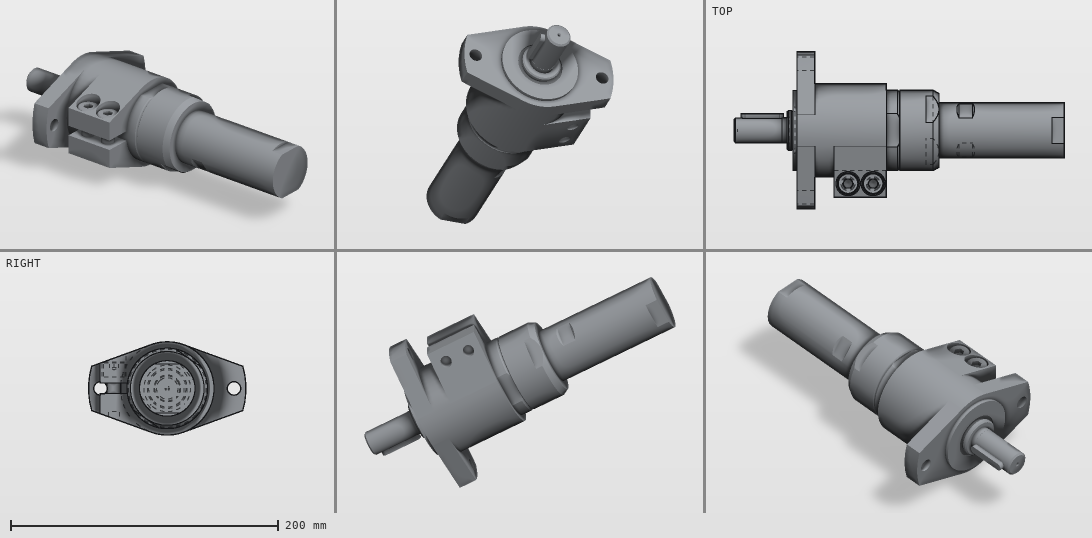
import cadquery as cq
import math


shaft_dia = 18.8
shaft_tip_dia = 16.0
shaft_tip_chamfer_length = 1.2
shaft_seat_dia = 19.0
shaft_seat_start = 36.0
centre_hole_mouth_dia = 3.2
centre_hole_dia = 1.6
centre_hole_depth = 2.5

key_start = 5.2
key_end = 37.1
key_width = 6.2
key_top = 12.5

collar_start = 39.8
collar_dia = 30.0
collar_chamfer = 1.0
collar_bore_dia = 20.0
collar_bore_depth = 1.5

pilot_start = 44.0
pilot_dia = 60.0
pilot_recess_dia = 35.0
pilot_recess_depth = 1.5
flange_start = 47.0
flange_end = 60.6
flange_width = 118.0
body_dia = 70.0
taper_angle = 20
flange_hole_dia = 10.0
flange_hole_spacing = 100.0

clamp_start = 74.7
clamp_end = 114.0
clamp_reach = 50.2
clamp_slit = 8.0
bolt_offset = 39.8
first_bolt = 85.5
bolt_spacing = 18.8
bolt_dia = 10.5
bolt_bore_dia = 18.0
bolt_head_dia = 16.0
bolt_head_chamfer = 0.7
bolt_head_top = 19.8
bolt_seat = 8.7
socket_width = 7.0
socket_depth = 4.0
socket_drill_slope = 30
thread_hole_dia = 8.5
bolt_tip = -17.3

neck_dia = 60.5
neck_end = 122.3
neck_across_flats = 55.0
groove_station = 123.8
groove_dia = 58.5
nut_start = 124.5
nut_dia = 60.5
nut_flat_start = 143.8
nut_chamfer_start = 149.0
nut_end = 153.7
nut_end_dia = 55.2
nut_flat_distance = 27.7
nut_flat_angle = 35

tube_dia = 41.5
tube_end = 247.5
tube_pocket_centre = 173.5
tube_pocket_length = 10.0
tube_pocket_floor = 19.0
tube_pocket_angle = 50
wrench_flat_start = 238.0
wrench_across_flats = 36.6

hexagon_sides = 6
overcut = 2.5


def cylinder(start, end, diameter):
    """Cylinder on the X axis between two stations."""
    return cq.Workplane("YZ").workplane(offset=start).circle(diameter / 2).extrude(end - start)


def upright_cylinder(x, y, bottom, top, diameter):
    """Cylinder parallel to Z."""
    return cq.Workplane("XY", origin=(x, y, bottom)).circle(diameter / 2).extrude(top - bottom)


def block(x_range, y_range, z_range):
    """Box given by its limits along each axis."""
    size = [high - low for low, high in (x_range, y_range, z_range)]
    corner = (x_range[0], y_range[0], z_range[0])
    return cq.Workplane("XY").box(*size, centered=False).translate(corner)


def tapered_wing(start, end, reach, side):
    """Wing tangent to the body, narrowing at the taper angle out to its reach along Y."""
    angle = math.radians(taper_angle)
    radius = body_dia / 2
    tangent_y = radius * math.sin(angle)
    tangent_z = radius * math.cos(angle)
    tip_z = tangent_z - (reach - tangent_y) * math.tan(angle)
    half_outline = [(side * tangent_y, tangent_z), (side * reach, tip_z)]
    outline = [(0, 0)] + half_outline + [(y, -z) for y, z in reversed(half_outline)]
    return cq.Workplane("YZ").workplane(offset=start).polyline(outline).close().extrude(end - start)


def make_turned_core():
    """Shaft with its centre hole, collar, pilot, body core, neck, nut and tube as one turned profile."""
    steps = [
        (0, shaft_tip_dia),
        (shaft_tip_chamfer_length, shaft_dia),
        (shaft_seat_start, shaft_dia),
        (shaft_seat_start, shaft_seat_dia),
        (collar_start + collar_bore_depth, shaft_seat_dia),
        (collar_start + collar_bore_depth, collar_bore_dia),
        (collar_start, collar_bore_dia),
        (collar_start, collar_dia - 2 * collar_chamfer),
        (collar_start + collar_chamfer, collar_dia),
        (pilot_start - collar_chamfer, collar_dia),
        (pilot_start, collar_dia - 2 * collar_chamfer),
        (pilot_start + pilot_recess_depth, collar_dia - 2 * collar_chamfer),
        (pilot_start + pilot_recess_depth, pilot_recess_dia),
        (pilot_start, pilot_recess_dia),
        (pilot_start, pilot_dia),
        (clamp_start, pilot_dia),
        (clamp_start, neck_dia),
        (neck_end, neck_dia),
        (groove_station, groove_dia),
        (nut_start, nut_dia),
        (nut_chamfer_start, nut_dia),
        (nut_end, nut_end_dia),
        (nut_end, tube_dia),
        (tube_end, tube_dia),
    ]
    countersink_depth = (centre_hole_mouth_dia - centre_hole_dia) / 2
    centre_hole = [
        (centre_hole_depth, 0),
        (centre_hole_depth, centre_hole_dia),
        (countersink_depth, centre_hole_dia),
        (0, centre_hole_mouth_dia),
    ]
    profile = [(x, diameter / 2) for x, diameter in centre_hole + steps] + [(tube_end, 0)]
    return cq.Workplane("XY").polyline(profile).close().revolve(360, (0, 0, 0), (1, 0, 0))


def key_shape(bottom, top):
    """Round-ended bar along the shaft, filling Y from bottom to top."""
    length = key_end - key_start
    middle = (key_start + key_end) / 2
    plane = cq.Workplane("XZ", origin=(middle, bottom, 0))
    return plane.slot2D(length, key_width).extrude(bottom - top)


def make_flange():
    """Tapered two-hole flange with rounded outer ends, and the body cylinder behind it."""
    wings = tapered_wing(flange_start, flange_end, flange_width / 2, 1)
    wings = wings.union(tapered_wing(flange_start, flange_end, flange_width / 2, -1))
    wings = wings.intersect(cylinder(flange_start, flange_end, flange_width))
    flange = wings.union(cylinder(flange_start, clamp_start, body_dia))
    for side in (-1, 1):
        hole = cylinder(flange_start, flange_end, flange_hole_dia)
        flange = flange.cut(hole.translate((0, side * flange_hole_spacing / 2, 0)))
    return flange


def make_bolt(x):
    """Socket head bolt with a chamfered head and a drilled hexagon socket."""
    head = upright_cylinder(x, -bolt_offset, bolt_seat, bolt_head_top, bolt_head_dia)
    head = head.faces(">Z").chamfer(bolt_head_chamfer)
    socket_corner_dia = socket_width / math.cos(math.pi / hexagon_sides)
    socket = cq.Workplane("XY", origin=(x, -bolt_offset, bolt_head_top))
    head = head.cut(socket.polygon(hexagon_sides, socket_corner_dia).extrude(-socket_depth))
    drill_point = cq.Solid.makeCone(
        socket_width / 2,
        0,
        socket_width / 2 * math.tan(math.radians(socket_drill_slope)),
        cq.Vector(x, -bolt_offset, bolt_head_top - socket_depth),
        cq.Vector(0, 0, -1),
    )
    head = head.cut(cq.Workplane(obj=drill_point))
    return head.union(upright_cylinder(x, -bolt_offset, bolt_tip, bolt_seat, bolt_dia))


def make_clamp():
    """Split clamp ring with two lugs drawn together by a pair of bolts."""
    x_range = (clamp_start, clamp_end)
    clamp = cylinder(*x_range, body_dia).union(tapered_wing(*x_range, clamp_reach, -1))
    clamp = clamp.cut(block(x_range, (-clamp_reach, 0), (-clamp_slit / 2, clamp_slit / 2)))
    for x in (first_bolt, first_bolt + bolt_spacing):
        clamp = clamp.cut(upright_cylinder(x, -bolt_offset, bolt_seat, body_dia / 2, bolt_bore_dia))
        clamp = clamp.cut(upright_cylinder(x, -bolt_offset, -body_dia / 2, 0, thread_hole_dia))
        clamp = clamp.union(make_bolt(x))
    return clamp


def across_flats_cut(start, end, across_flats, diameter):
    """Material outside two flats that face +Z and -Z."""
    reach = diameter / 2 + overcut
    upper = block((start, end), (-reach, reach), (across_flats / 2, reach))
    return upper.union(upper.mirror("XY"))


def opposed_pair(cutter, angle):
    """Two opposite copies of a +Z cutter, tilted from +Z towards +Y."""
    first = cutter.rotate((0, 0, 0), (1, 0, 0), -angle)
    return first.union(first.rotate((0, 0, 0), (1, 0, 0), 180))


def nut_flats():
    """Two opposite flats on the end of the nut."""
    reach = nut_dia / 2 + overcut
    flat = block((nut_flat_start, nut_end), (-reach, reach), (nut_flat_distance, reach))
    return opposed_pair(flat, nut_flat_angle)


def tube_pockets():
    """Two opposite flat-bottomed pockets with 45 degree ends."""
    half_floor = tube_pocket_length / 2
    depth = tube_dia / 2 + overcut - tube_pocket_floor
    outline = [
        (-half_floor, 0),
        (half_floor, 0),
        (half_floor + depth, depth),
        (-half_floor - depth, depth),
    ]
    plane = cq.Workplane("XZ", origin=(tube_pocket_centre, 0, tube_pocket_floor))
    pocket = plane.polyline(outline).close().extrude(tube_dia / 2, both=True)
    return opposed_pair(pocket, tube_pocket_angle)


core = make_turned_core()
seat_notch = key_shape(-shaft_seat_dia / 2, 0).cut(cylinder(0, collar_start, shaft_dia))
core = core.cut(seat_notch)
core = core.union(key_shape(0, key_top))

core = core.cut(across_flats_cut(clamp_end, groove_station, neck_across_flats, neck_dia))
core = core.cut(across_flats_cut(wrench_flat_start, tube_end, wrench_across_flats, tube_dia))
core = core.cut(nut_flats())
core = core.cut(tube_pockets())

result = core.union(make_flange()).union(make_clamp())